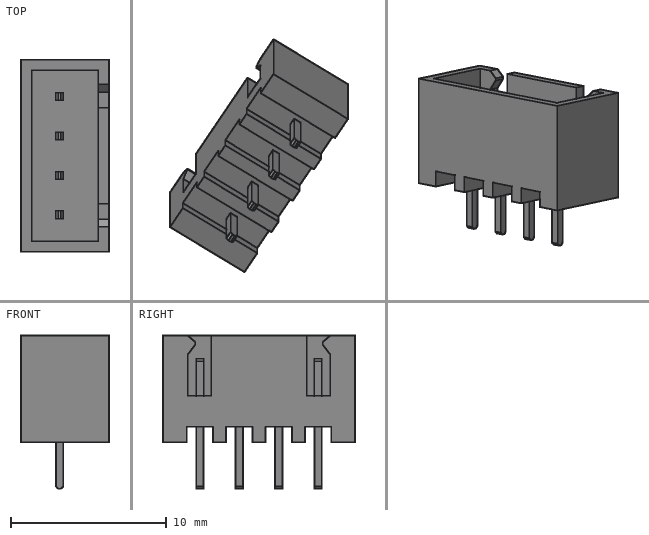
import cadquery as cq

housing_width = 5.7
housing_length = 12.4
housing_height = 6.9
wall = 0.7
floor_top = 2.0

notch_width = 1.69
notch_height = 1.0

opening_length = 9.2
panel_length = 6.18
slot_floor = 3.0

hook_reach = 0.5
hook_height = 1.24
hook_lead_in = 0.43
hook_tip = 0.15

pin_count = 4
pin_pitch = 2.54
pin_x = -0.35
pin_size = 0.5
pin_top = 5.4
pin_bottom = -3.0
pin_chamfer = 0.16

pin_positions = [(i - (pin_count - 1) / 2) * pin_pitch for i in range(pin_count)]
wall_inner_x = housing_width / 2 - wall


def block(size_x, size_y, bottom, top, x=0.0, y=0.0):
    """Box centred at (x, y) that runs from bottom to top in Z."""
    box = cq.Workplane("XY").box(size_x, size_y, top - bottom, centered=(True, True, False))
    return box.translate((x, y, bottom))


def make_hook(side):
    """Latch hook on the opening edge at +Y (side = 1) or -Y (side = -1)."""
    edge_y = side * opening_length / 2
    tip_y = edge_y - side * hook_reach
    tip_top = housing_height - hook_lead_in
    outline = [
        (edge_y, housing_height),
        (tip_y, tip_top),
        (tip_y, tip_top - hook_tip),
        (edge_y, housing_height - hook_height),
    ]
    profile = cq.Workplane("YZ", origin=(wall_inner_x, 0, 0)).polyline(outline).close()
    return profile.extrude(wall)


def make_pin(y):
    """Square pin with both ends chamfered on the -X and +X sides."""
    pin = block(pin_size, pin_size, pin_bottom, pin_top, pin_x, y)
    return pin.faces("<Z or >Z").edges("|Y").chamfer(pin_chamfer)


def make_housing():
    body = block(housing_width, housing_length, 0, housing_height)

    cavity_width = housing_width - 2 * wall
    cavity_length = housing_length - 2 * wall
    body = body.cut(block(cavity_width, cavity_length, floor_top, housing_height))

    slot_length = (opening_length - panel_length) / 2
    slot_y = (opening_length + panel_length) / 4
    wall_center_x = wall_inner_x + wall / 2
    for side in (-1, 1):
        slot = block(wall, slot_length, slot_floor, housing_height, wall_center_x, side * slot_y)
        body = body.cut(slot).union(make_hook(side))

    for y in pin_positions:
        body = body.cut(block(housing_width, notch_width, 0, notch_height, y=y))
        body = body.cut(block(pin_size, pin_size, 0, housing_height, pin_x, y))
    return body


housing = make_housing()
pins = [make_pin(y) for y in pin_positions]

result = cq.Compound.makeCompound([housing.solids().val(), *[pin.solids().val() for pin in pins]])